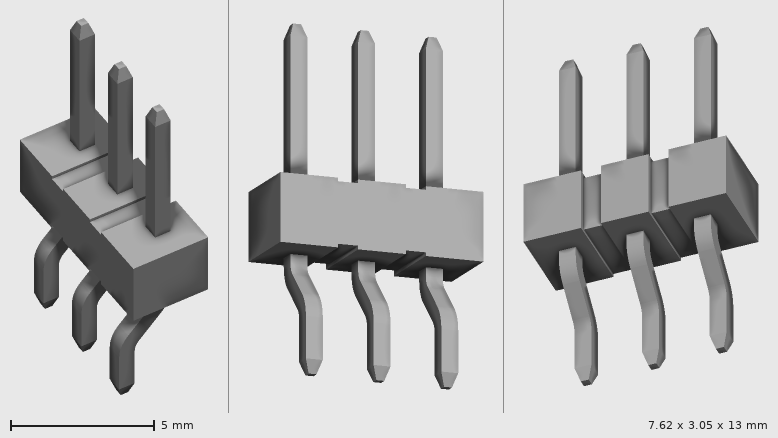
import cadquery as cq
import math

TOTAL_HEIGHT = 12.95
PIN_COUNT = 3
PITCH = 2.54

HOUSING_LENGTH = PIN_COUNT * PITCH
HOUSING_DEPTH = 3.05
HOUSING_HEIGHT = 2.51
HOUSING_BOTTOM = 4.6
HOUSING_TOP = HOUSING_BOTTOM + HOUSING_HEIGHT

GROOVE_WIDTH = 0.75
GROOVE_DEPTH = 0.13
REAR_GROOVE_DEPTH = 0.28

PIN_SIZE = 0.63
TIP_SIZE = 0.3
TIP_LENGTH = 0.49
UPPER_LEG_Y = 1.79
LOWER_LEG_Y = PIN_SIZE / 2
UPPER_SHOULDER = TOTAL_HEIGHT - TIP_LENGTH

BEND_ANGLE = math.radians(45)
BEND_INNER_RADIUS = 0.62
BEND_RADIUS = BEND_INNER_RADIUS + PIN_SIZE / 2
UPPER_BEND_START = 4.27
BEND_SHIFT = BEND_RADIUS * (1 - math.cos(BEND_ANGLE))
BEND_DROP = BEND_RADIUS * math.sin(BEND_ANGLE)
HALF_BEND_SHIFT = BEND_RADIUS * (1 - math.cos(BEND_ANGLE / 2))
HALF_BEND_DROP = BEND_RADIUS * math.sin(BEND_ANGLE / 2)
SLOPE_DROP = (UPPER_LEG_Y - LOWER_LEG_Y - 2 * BEND_SHIFT) / math.tan(BEND_ANGLE)
LOWER_BEND_END = UPPER_BEND_START - 2 * BEND_DROP - SLOPE_DROP


def row_positions(count):
    """X positions of a centred row of items, one pitch apart."""
    return [(index - (count - 1) / 2) * PITCH for index in range(count)]


def make_tip(x, y, shoulder_z, direction):
    """Tapered tip running up (direction 1) or down (direction -1) from its shoulder."""
    return (
        cq.Workplane("XY", origin=(x, y, shoulder_z))
        .rect(PIN_SIZE, PIN_SIZE)
        .workplane(offset=direction * TIP_LENGTH)
        .rect(TIP_SIZE, TIP_SIZE)
        .loft()
    )


def make_pin(x):
    """Square pin, straight through the housing and stepped towards the front below it."""
    centre_line = (
        cq.Workplane("YZ", origin=(x, 0, 0))
        .moveTo(UPPER_LEG_Y, UPPER_SHOULDER)
        .lineTo(UPPER_LEG_Y, UPPER_BEND_START)
        .threePointArc(
            (UPPER_LEG_Y - HALF_BEND_SHIFT, UPPER_BEND_START - HALF_BEND_DROP),
            (UPPER_LEG_Y - BEND_SHIFT, UPPER_BEND_START - BEND_DROP),
        )
        .lineTo(LOWER_LEG_Y + BEND_SHIFT, LOWER_BEND_END + BEND_DROP)
        .threePointArc(
            (LOWER_LEG_Y + HALF_BEND_SHIFT, LOWER_BEND_END + HALF_BEND_DROP),
            (LOWER_LEG_Y, LOWER_BEND_END),
        )
        .lineTo(LOWER_LEG_Y, TIP_LENGTH)
    )
    shank = (
        cq.Workplane("XY", origin=(x, UPPER_LEG_Y, UPPER_SHOULDER))
        .rect(PIN_SIZE, PIN_SIZE)
        .sweep(centre_line)
    )
    upper_tip = make_tip(x, UPPER_LEG_Y, UPPER_SHOULDER, 1)
    lower_tip = make_tip(x, LOWER_LEG_Y, TIP_LENGTH, -1)
    return shank.union(upper_tip).union(lower_tip)


def make_block():
    """Plain block with grooves across its top, bottom and rear faces between the pins."""
    block = cq.Workplane("XY", origin=(0, 0, HOUSING_BOTTOM)).box(
        HOUSING_LENGTH, HOUSING_DEPTH, HOUSING_HEIGHT, centered=(True, False, False)
    )
    for x in row_positions(PIN_COUNT - 1):
        rear_groove = cq.Workplane("XY", origin=(x, HOUSING_DEPTH, HOUSING_BOTTOM)).box(
            GROOVE_WIDTH, 2 * REAR_GROOVE_DEPTH, HOUSING_HEIGHT, centered=(True, True, False)
        )
        block = block.cut(rear_groove)
        for face_z in (HOUSING_BOTTOM, HOUSING_TOP):
            face_groove = cq.Workplane("XY", origin=(x, 0, face_z)).box(
                GROOVE_WIDTH, HOUSING_DEPTH, 2 * GROOVE_DEPTH, centered=(True, False, True)
            )
            block = block.cut(face_groove)
    return block


def make_housing(moulded_pin, loose_pins):
    """Housing with one pin in one piece with the block and matching holes for the other pins."""
    body = make_block().union(moulded_pin)
    for loose_pin in loose_pins:
        body = body.cut(loose_pin)
    return body


pins = [make_pin(x) for x in row_positions(PIN_COUNT)]
middle_pin = pins.pop(PIN_COUNT // 2)
housing = make_housing(middle_pin, pins)

result = cq.Compound.makeCompound([housing.val(), *[pin.val() for pin in pins]])